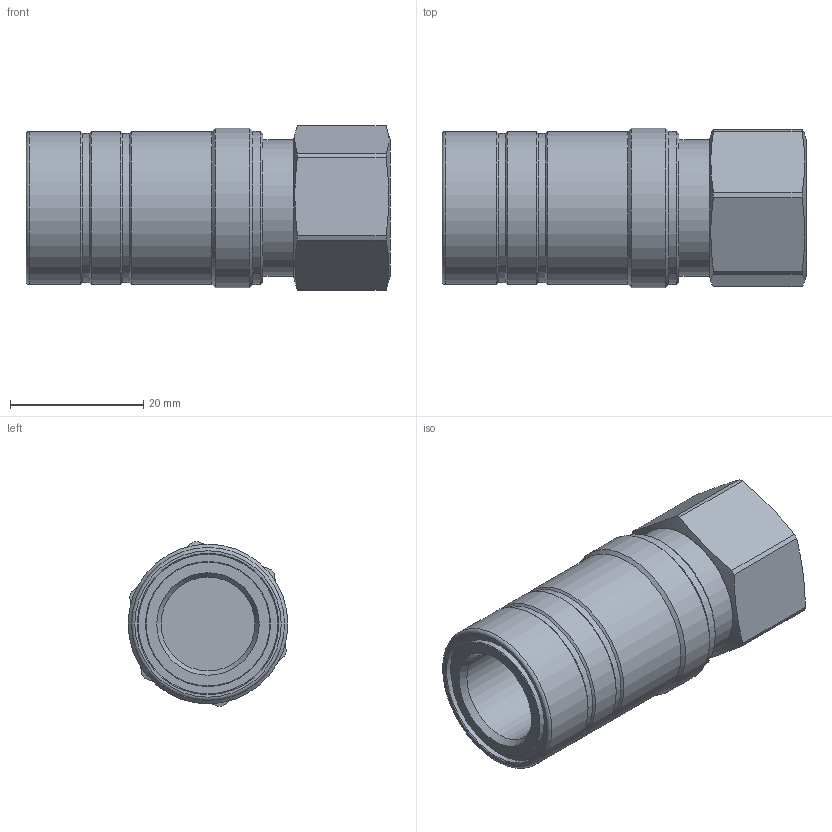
import cadquery as cq
import math

total_length = 54.7

sleeve_dia = 23.0
sleeve_end = 35.6
mouth_round = 0.5
sleeve_end_chamfer = 0.35

groove_dia = 22.4
groove_width = 1.6
groove_cutter_clearance = 0.5
groove_starts = (8.2, 14.2)

collar_dia = 24.0
collar_start = 27.95
collar_end = 34.05

neck_dia = 20.5

nut_start = 40.2
nut_sides = 6
across_flats = 22.0
nut_corner_dia = 25.0
nut_roll = 9.0
nut_face_dia = 20.6
nut_chamfer_angle = 15.0

recess_dia = 21.0
recess_edge_chamfer = 0.12
recess_depth = 1.0

tube_dia = 18.8
tube_edge_chamfer = 0.1
bore_dia = 14.1
bore_mouth_dia = 15.4
bore_cone_length = 1.0
bore_depth = 20.0


def cylinder(diameter, start, end):
    """Solid cylinder along X between two stations."""
    return cq.Workplane("YZ", origin=(start, 0, 0)).circle(diameter / 2).extrude(end - start)


def revolved(points):
    """Solid of revolution about X from a closed outline of (station, radius) points."""
    return cq.Workplane("XY").polyline(points).close().revolve(360, (0, 0, 0), (1, 0, 0))


def make_sleeve():
    """Plain barrel with a rounded mouth edge and a chamfered rear edge."""
    sleeve = cylinder(sleeve_dia, 0, sleeve_end)
    sleeve = sleeve.faces("<X").edges().fillet(mouth_round)
    return sleeve.faces(">X").edges().chamfer(sleeve_end_chamfer)


def make_collar():
    """Raised band whose 45 degree flanks run down to the sleeve surface."""
    top = collar_dia / 2
    foot = sleeve_dia / 2
    flank = top - foot
    return revolved([
        (collar_start, 0),
        (collar_start, foot),
        (collar_start + flank, top),
        (collar_end - flank, top),
        (collar_end, foot),
        (collar_end, 0),
    ])


def make_groove(start):
    """Ring cutter with 45 degree flanks."""
    bottom = groove_dia / 2
    top = sleeve_dia / 2 + groove_cutter_clearance
    flank = (sleeve_dia - groove_dia) / 2
    end = start + groove_width
    return revolved([
        (start - groove_cutter_clearance, top),
        (start + flank, bottom),
        (end - flank, bottom),
        (end + groove_cutter_clearance, top),
    ])


def make_nut():
    """Hexagon with its corners turned down and both ends coned."""
    length = total_length - nut_start
    across_corners = across_flats / math.cos(math.pi / nut_sides)
    hexagon = (
        cq.Workplane("YZ", origin=(nut_start, 0, 0))
        .polygon(nut_sides, across_corners)
        .extrude(length)
        .rotate((0, 0, 0), (1, 0, 0), 90 - nut_roll)
    )
    corner = nut_corner_dia / 2
    face = nut_face_dia / 2
    cone_length = (corner - face) * math.tan(math.radians(nut_chamfer_angle))
    turned = revolved([
        (nut_start, 0),
        (nut_start, face),
        (nut_start + cone_length, corner),
        (total_length - cone_length, corner),
        (total_length, face),
        (total_length, 0),
    ])
    return hexagon.intersect(turned)


def make_recess():
    """Ring cutter between the sleeve mouth and the inner tube."""
    outer = recess_dia / 2
    inner = tube_dia / 2
    return revolved([
        (0, outer + recess_edge_chamfer),
        (recess_edge_chamfer, outer),
        (recess_depth, outer),
        (recess_depth, inner),
        (tube_edge_chamfer, inner),
        (0, inner - tube_edge_chamfer),
    ])


def make_bore():
    """Blind bore of the inner tube with a conical mouth."""
    return revolved([
        (0, 0),
        (0, bore_mouth_dia / 2),
        (bore_cone_length, bore_dia / 2),
        (bore_depth, bore_dia / 2),
        (bore_depth, 0),
    ])


body = make_sleeve().union(make_collar())
body = body.union(cylinder(neck_dia, collar_end, nut_start))
body = body.union(make_nut())
for groove_start in groove_starts:
    body = body.cut(make_groove(groove_start))
result = body.cut(make_recess()).cut(make_bore())